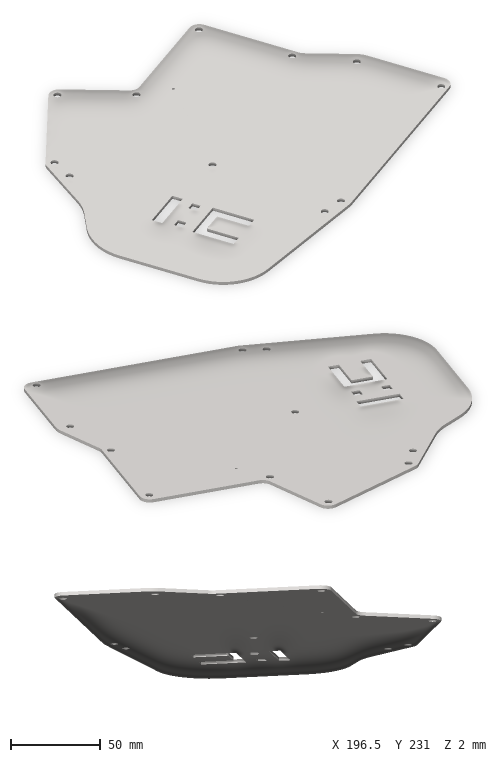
import cadquery as cq
import math

width = 196.5
length = 231.0
thickness = 2.0

small_radius = 6.0
slope_radius = 13.9
waist_radius = 31.2
palm_radius = 31.2
palm_left_radius = 33.5

shoulder_left = 42.3
shoulder_top = 216.6
shoulder_slope_end = 139.5
slope_angle = 25.0
wing_root_y = 144.1
wing_lower_corner = (28.2, 59.0)
waist_corner = (64.7, 32.5)
palm_left_x = 85.2
palm_right_x = 178.5
right_bend_y = 101.5

screw_diameter = 4.5
screw_centers = [
    (140.0, 223.0), (192.5, 223.0), (105.3, 212.0), (47.8, 211.0),
    (44.0, 140.7), (4.9, 120.8), (190.8, 101.2), (111.5, 100.0),
    (187.0, 88.2), (31.9, 62.8), (45.0, 55.2),
]
pin_diameter = 1.6
pin_center = (60.0, 154.7)

window_bottom = 38.0
window_height = 25.6
stroke = 6.5
bar_left = 104.6
dot_size = 5.0
dot_center_x = 120.3
dot_spacing = 17.8
bracket_left = 129.8
bracket_width = 25.6
bracket_spine = 5.8


def outline_corners():
    """Sharp corners with their fillet radii, clockwise from the top right."""
    angle = math.radians(slope_angle)
    shoulder_slope_start = shoulder_slope_end - (length - shoulder_top) / math.tan(angle)

    wing_tip_x = small_radius * (1 - math.cos(angle) - math.sin(angle))
    wing_tip_y = wing_root_y - (shoulder_left - wing_tip_x) * math.tan(angle)

    return [
        ((width, length), small_radius),
        ((width, right_bend_y), 0),
        ((palm_right_x, 0), palm_radius),
        ((palm_left_x, 0), palm_left_radius),
        (waist_corner, waist_radius),
        (wing_lower_corner, small_radius),
        ((wing_tip_x, wing_tip_y), small_radius),
        ((shoulder_left, wing_root_y), small_radius),
        ((shoulder_left, shoulder_top), small_radius),
        ((shoulder_slope_start, shoulder_top), small_radius),
        ((shoulder_slope_end, length), slope_radius),
    ]


def corner_arc(before, corner, after, radius):
    """Start, middle and end of the arc that rounds a corner."""
    point = cq.Vector(*corner)
    back = (cq.Vector(*before) - point).normalized()
    ahead = (cq.Vector(*after) - point).normalized()
    half_angle = back.getAngle(ahead) / 2
    setback = radius / math.tan(half_angle)
    middle_distance = radius / math.sin(half_angle) - radius
    middle = point + (back + ahead).normalized() * middle_distance
    return point + back * setback, middle, point + ahead * setback


def rounded_plate(corners):
    """Plate with straight edges joined by tangent arcs."""
    points = [point for point, _ in corners]
    first_edge_middle = (cq.Vector(*points[-1]) + cq.Vector(*points[0])) * 0.5
    sketch = cq.Workplane("XY").moveTo(first_edge_middle.x, first_edge_middle.y)
    for index, (point, radius) in enumerate(corners):
        if radius == 0:
            sketch = sketch.lineTo(*point)
            continue
        following = points[(index + 1) % len(points)]
        start, middle, end = corner_arc(points[index - 1], point, following, radius)
        sketch = sketch.lineTo(start.x, start.y)
        sketch = sketch.threePointArc((middle.x, middle.y), (end.x, end.y))
    return sketch.close().extrude(thickness)


def round_cutters(centers, diameter):
    return cq.Workplane("XY").pushPoints(centers).circle(diameter / 2).extrude(thickness)


def block(left, bottom, size_x, size_y):
    corner = cq.Workplane("XY").box(size_x, size_y, thickness, centered=False)
    return corner.translate((left, bottom, 0))


def window_cutters():
    bar = block(bar_left, window_bottom, stroke, window_height)

    middle_y = window_bottom + window_height / 2
    dots = (
        cq.Workplane("XY")
        .center(dot_center_x, middle_y)
        .rarray(2.3, dot_spacing, 1, 2)
        .rect(dot_size, dot_size)
        .extrude(thickness)
    )

    bracket = block(bracket_left, window_bottom, bracket_width, window_height)
    tongue = block(
        bracket_left + bracket_spine,
        window_bottom + stroke,
        bracket_width - bracket_spine,
        window_height - 2 * stroke,
    )
    return [bar, dots, bracket.cut(tongue)]


result = rounded_plate(outline_corners())
result = result.cut(round_cutters(screw_centers, screw_diameter))
result = result.cut(round_cutters([pin_center], pin_diameter))
for cutter in window_cutters():
    result = result.cut(cutter)